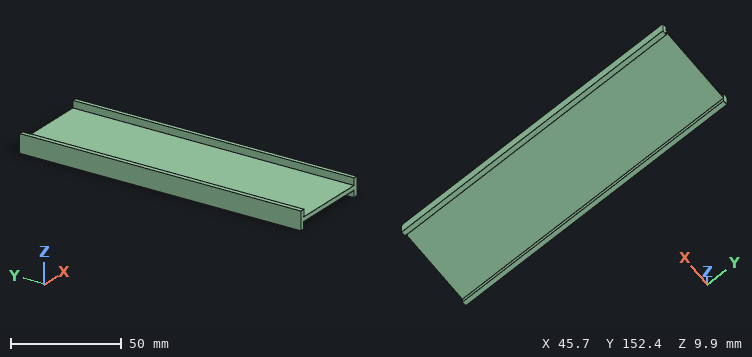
import cadquery as cq

width = 45.7
length = 152.4
height = 9.9

flange_thickness = 2.5
web_thickness = 2.5

web = cq.Workplane("XY").box(width, length, web_thickness)

flange_offset = (width - flange_thickness) / 2
flanges = (
    cq.Workplane("XY")
    .pushPoints([(-flange_offset, 0), (flange_offset, 0)])
    .box(flange_thickness, length, height)
)

result = web.union(flanges)